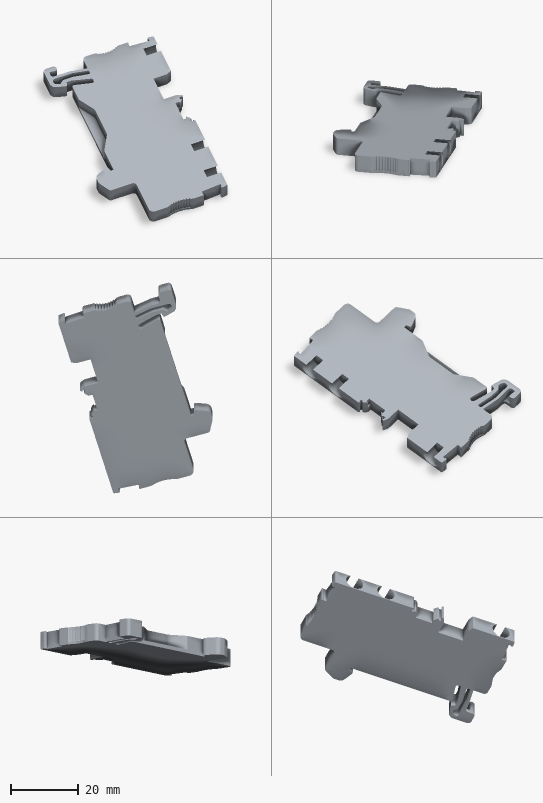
import math

import cadquery as cq


width = 60.45
height = 35.3
thickness = 5.2

end_lug_tip = 0.07
body_left = 0.25
body_right = width - end_lug_tip
body_middle = (body_left + body_right) / 2
end_lug_y = 27.3

label_notch_left = 15.4
label_notch_right = 23.45
label_notch_floor = 29.45
notch_chamfer_y = 33.7
notch_chamfer_x = 0.65
marker_middle = 29.3
marker_floor = 32.15
marker_ledge_half = 3.2
marker_ledge_top = 33.4
marker_ledge_z = 2.6
marker_mouth_half = 2.6

rail_seat = 5.93
left_shoulder = 12.65
right_shoulder = 10.25
left_shoulder_radius = 1.1
right_shoulder_radius = 1.55
right_foot_outer = 48.37
right_foot_inner = 41.65

hook_top = 4.1
stem_left = 3.5
hook_floor_z = 1.3
hook_floor = 1.5
hook_root_rise = 0.85
slot_radius = 0.72
slit_left = 4.4
slit_right = 5.7
slit_bottom = 1.3
slit_top_radius = 0.4
slit_bottom_radius = 0.7
slit_bend_radius = 4.0

pocket_left = 14.1
pocket_right = 34.25
pocket_roof = 9.0
pocket_roof_left = 19.3
pocket_roof_right = 28.9
pocket_roof_radius = 2.0
pocket_floor_z = 1.1
pocket_end_radius = 1.0
pocket_overlap = 0.5

entry_middles = (5.5, 43.1, 53.3)
entry_depth = 4.55
bore_width = 5.5
bore_radius = 2.4
bore_bottom_z = 0.4
bore_top_z = 5.4
mouth_bevel_y = 0.18
mouth_bevel_z = 0.13
slot_width = 2.6

left_grip_ends = (16.9, 23.6)
left_grip_depth = 0.85
left_grip_blend = 5.0
right_grip_ends = (15.9, 23.7)
right_grip_depth = 0.7
groove_count = 8
groove_pitch = 0.825
groove_width = 0.5
groove_depth = 0.3
groove_relief = 0.1
left_grooves_middle = 20.65
right_grooves_middle = 20.0
groove_base_z = 0.75


def rounded_outline(points):
    """Closed wire through (x, y) corners; a third value rounds that corner with a radius."""
    corners = []
    for index, point in enumerate(points):
        corner = cq.Vector(point[0], point[1])
        if len(point) == 2:
            corners.append((corner, corner, corner))
            continue
        before = points[index - 1]
        after = points[(index + 1) % len(points)]
        to_before = (cq.Vector(before[0], before[1]) - corner).normalized()
        to_after = (cq.Vector(after[0], after[1]) - corner).normalized()
        half_angle = to_before.getAngle(to_after) / 2
        setback = point[2] / math.tan(half_angle)
        apex_distance = point[2] / math.sin(half_angle) - point[2]
        bisector = (to_before + to_after).normalized()
        start = corner + to_before * setback
        end = corner + to_after * setback
        corners.append((start, corner + bisector * apex_distance, end))
    outline = cq.Workplane("XY").moveTo(corners[0][2].x, corners[0][2].y)
    for start, apex, end in corners[1:] + corners[:1]:
        outline = outline.lineTo(start.x, start.y)
        if (end - start).Length > 0:
            outline = outline.threePointArc((apex.x, apex.y), (end.x, end.y))
    return outline.close()


def prism(points, bottom_z):
    """Solid over a rounded outline, from bottom_z up to the top face."""
    return rounded_outline(points).extrude(thickness - bottom_z).translate((0, 0, bottom_z))


def mirrored(points, middle):
    """The same points reflected about x = middle, in reverse order."""
    return [(2 * middle - point[0],) + tuple(point[1:]) for point in reversed(points)]


def left_end():
    """Left end above the grip: lug, sloping neck and hooked lip, going up."""
    return [
        (body_left, end_lug_y - 0.35),
        (body_left - end_lug_tip, end_lug_y - 0.1),
        (body_left + 0.2, end_lug_y + 0.2),
        (body_left + 0.4, end_lug_y),
        (1.7, end_lug_y),
        (2.1, 33.2),
        (2.25, 33.5),
        (1.45, 33.5),
        (1.3, 33.2),
        (0.95, 33.3),
        (0.8, 33.5),
        (1.0, 34.95),
        (1.15, height),
    ]


def marker_side():
    """Left side of the marker seat: barbed post, step and slope, going right."""
    post_edge = 24.5
    return [
        (label_notch_right + notch_chamfer_x, height),
        (post_edge, height),
        (post_edge + 0.35, height - 0.4),
        (post_edge + 0.25, height - 0.6),
        (post_edge, height - 0.35),
        (post_edge, 34.0),
        (25.15, 34.0),
        (25.4, 34.35),
        (25.75, 34.35),
        (marker_middle - marker_mouth_half, marker_ledge_top),
        (marker_middle - marker_mouth_half, marker_floor),
    ]


def right_marker_side():
    """Right side of the marker seat: the left side mirrored, ending in the top edge."""
    return mirrored(marker_side()[1:], marker_middle)


def spring_foot():
    """Spring foot around its stem, from the rail seat to the left shoulder."""
    return [
        (8.6, rail_seat, 0.3),
        (8.65, 6.7),
        (10.15, left_shoulder, slot_radius),
        (8.5, left_shoulder, slot_radius),
        (6.85, 6.4, 1.0),
        (6.85, 4.95),
        (8.15, 4.55),
        (8.0, 3.6),
        (7.2, 0.95),
        (6.4, 0, 2.2),
        (0, 0, 1.0),
        (0, hook_top, 0.95),
        (stem_left, hook_top, hook_root_rise),
        (stem_left, 7.0),
        (4.45, left_shoulder),
    ]


def right_foot():
    """Rigid foot from the right shoulder round to the rail seat."""
    return [
        (right_foot_outer, right_shoulder, 1.08),
        (right_foot_outer, 2.1, 1.1),
        (44.5, 0, 0.5),
        (41.8, 0, 1.7),
        (40.25, 3.9, 0.6),
        (40.25, 4.6),
        (right_foot_inner, 5.0),
        (right_foot_inner, rail_seat),
    ]


def plate():
    """Full-thickness plate inside the outer outline, followed clockwise from the left lug."""
    points = left_end()
    points += [
        (label_notch_left - notch_chamfer_x, height),
        (label_notch_left, notch_chamfer_y),
        (label_notch_left, label_notch_floor),
        (label_notch_right, label_notch_floor),
        (label_notch_right, notch_chamfer_y),
    ]
    points += marker_side()
    points += right_marker_side()
    points += mirrored(left_end(), body_middle)
    points += [(body_right, right_shoulder, right_shoulder_radius)]
    points += right_foot()
    points += spring_foot()
    points += [(body_left, left_shoulder, left_shoulder_radius)]
    return prism(points, 0)


def spring_slit():
    """Slit between the two legs of the spring foot, wider at its lower end."""
    points = [
        (5.38, left_shoulder, slit_top_radius),
        (slit_left, 7.5, slit_bend_radius),
        (slit_left, slit_bottom, slit_bottom_radius),
        (6.0, slit_bottom, slit_bottom_radius),
        (6.75, 3.0, 0.3),
        (slit_right, 4.2, 0.5),
        (slit_right, 7.3, slit_bend_radius),
        (6.65, left_shoulder, slit_top_radius),
    ]
    return prism(points, 0)


def hook_recess():
    """Space inside the hook of the spring foot, above a thin floor."""
    points = [
        (1.0, hook_top),
        (1.75, hook_top, 0.5),
        (1.75, 3.1),
        (1.5, hook_floor, 0.3),
        (stem_left, hook_floor, 0.8),
        (stem_left, hook_top + hook_root_rise),
        (2.6, hook_top + hook_root_rise),
    ]
    return prism(points, hook_floor_z)


def rail_pocket():
    """Trapezoidal pocket in the underside, open to the top face."""
    points = [
        (pocket_left - pocket_overlap, rail_seat - pocket_overlap),
        (pocket_left - pocket_overlap, rail_seat),
        (pocket_left, rail_seat, pocket_end_radius),
        (pocket_roof_left, pocket_roof, pocket_roof_radius),
        (pocket_roof_right, pocket_roof, pocket_roof_radius),
        (pocket_right, rail_seat, pocket_end_radius),
        (pocket_right + pocket_overlap, rail_seat),
        (pocket_right + pocket_overlap, rail_seat - pocket_overlap),
    ]
    return prism(points, pocket_floor_z)


def marker_ledges():
    """Low ledges at both ends of the marker seat."""
    points = [
        (marker_middle - marker_ledge_half, marker_floor),
        (marker_middle + marker_ledge_half, marker_floor),
        (marker_middle + marker_ledge_half, marker_ledge_top),
        (marker_middle - marker_ledge_half, marker_ledge_top),
    ]
    return prism(points, marker_ledge_z)


def wire_entry(middle):
    """Rounded bore from the top edge that breaks through the top face as a slot."""
    bore_height = bore_top_z - bore_bottom_z
    bore_middle_z = (bore_top_z + bore_bottom_z) / 2
    bore = (
        cq.Workplane("XZ", origin=(middle, height, bore_middle_z))
        .rect(bore_width, bore_height)
        .extrude(entry_depth)
        .edges("|Y")
        .fillet(bore_radius)
    )
    bevel_profile = [
        (-mouth_bevel_y, 0),
        (0, -mouth_bevel_z),
        (0, bore_radius),
        (-mouth_bevel_y, bore_radius),
    ]
    bevel = (
        cq.Workplane("YZ", origin=(middle, height, bore_bottom_z))
        .polyline(bevel_profile)
        .close()
        .extrude(slot_width / 2, both=True)
    )
    return bore.union(bevel)


def hollow_arc(edge_x, inward, ends, depth):
    """Centre and radius of a grip hollow; inward is +1 on the left end and -1 on the right."""
    half_length = (ends[1] - ends[0]) / 2
    radius = (half_length**2 + depth**2) / (2 * depth)
    return edge_x + inward * (depth - radius), sum(ends) / 2, radius


def grip_hollow(edge_x, inward, ends, depth):
    """Shallow cylindrical hollow in an end face, through the full thickness."""
    centre_x, centre_y, radius = hollow_arc(edge_x, inward, ends, depth)
    return cq.Workplane("XY").center(centre_x, centre_y).circle(radius).extrude(thickness)


def grip_grooves(edge_x, inward, ends, depth, grooves_middle):
    """V grooves across a slightly deepened grip hollow, stopping above a smooth base."""
    centre_x, centre_y, hollow_radius = hollow_arc(edge_x, inward, ends, depth)
    radius = hollow_radius + groove_relief
    first_y = grooves_middle - groove_pitch * (groove_count - 1) / 2
    grooves = (
        cq.Workplane("XY", origin=(centre_x, centre_y, groove_base_z))
        .circle(radius)
        .extrude(thickness - groove_base_z)
    )
    for index in range(groove_count):
        y = first_y + index * groove_pitch
        surface_x = centre_x + inward * math.sqrt(radius**2 - (y - centre_y) ** 2)
        mouth_x = surface_x - inward * groove_depth
        groove = [
            (mouth_x, y - groove_width),
            (surface_x + inward * groove_depth, y),
            (mouth_x, y + groove_width),
        ]
        grooves = grooves.union(prism(groove, groove_base_z))
    return grooves


left_grip = (body_left, 1, left_grip_ends, left_grip_depth)
right_grip = (body_right, -1, right_grip_ends, right_grip_depth)

result = plate().cut(grip_hollow(*left_grip)).cut(grip_hollow(*right_grip))
left_grip_lower_edge = (body_left, left_grip_ends[0], thickness / 2)
result = result.edges(cq.selectors.NearestToPointSelector(left_grip_lower_edge)).fillet(left_grip_blend)
result = result.cut(grip_grooves(*left_grip, left_grooves_middle))
result = result.cut(grip_grooves(*right_grip, right_grooves_middle))
result = result.cut(spring_slit()).cut(hook_recess()).cut(rail_pocket()).cut(marker_ledges())
for entry_middle in entry_middles:
    result = result.cut(wire_entry(entry_middle))